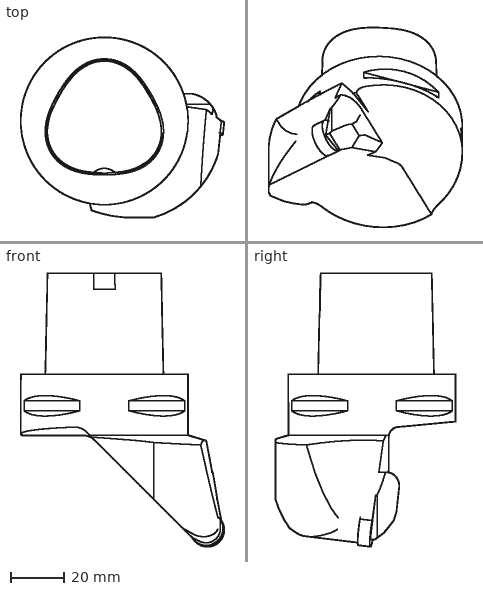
import cadquery as cq
import math

FAR = 61.8

SHANK_HEIGHT = 38.0
SHANK_BASE_RADIUS = 21.8
SHANK_TOP_RADIUS = 21.0
LOBE_HEIGHT = 1.5
SHANK_POINTS = 36

NOTCH_RADIUS = 5.8
NOTCH_HEIGHT = 6.2
NOTCH_INNER_Y = -17.8

FLANGE_RADIUS = 63.0 / 2
FLANGE_HEIGHT = 23.0
SLOT_Z = -11.9
SLOT_DEPTH = 3.7
SLOT_FLOOR_HEIGHT = 3.7
SLOT_MOUTH_HEIGHT = 7.7
SLOT_COUNT = 4

HEAD_DEPTH = 68.0
SHOULDER_SLOPE = 0.3
FLANK_OFFSET = -28.5
FLANK_CEILING_Z = -22.6
FLANK_CEILING_SLOPE = 0.088
FLANK_FILLET = 6.2
SIDE_NORMAL = (1, -0.085, 0.2)
SIDE_ALONG = (0.085, 1, 0)

CHIP_WALL_Y = 6.4
CHIP_CEILING_Z = -20.3
CHIP_CEILING_SLOPE = 0.095
CHIP_FILLET = 3.6

RAKE_POINT = (38.3, 4.3, -24.7)
RAKE_X_SLOPE = 0.11
RAKE_Z_SLOPE = 0.12

INSERT_RADIUS = 12.7 / 2
INSERT_THICKNESS = 4.6
INSERT_X = 38.8
INSERT_Z = -58.7
TIP_RADIUS = 5.4
TIP_UNDERSIDE_ANGLE = 26.0

CLAMP_LEFT_X = 17.0
CLAMP_BEVEL_POINT = (16.4, 7.6, -44.9)
CLAMP_BEVEL_NORMAL = (-0.5, 1, -0.7)
CLAMP_BEVEL_ALONG = (1, 0.5, 0)
CLAMP_TOP_Z = -37.0
CLAMP_NOSE_Z = -62.3
CLAMP_FRONT_Y = 10.3
CLAMP_BACK_Y = -10.3


def space_above(plane):
    """Large block standing on the outer side of a plane."""
    return cq.Workplane(plane).rect(4 * FAR, 4 * FAR).extrude(FAR)


def rake_y(x, z):
    """Y of the rake face at a given x and z."""
    point_x, point_y, point_z = RAKE_POINT
    return point_y - RAKE_X_SLOPE * (x - point_x) + RAKE_Z_SLOPE * (z - point_z)


def rake_plane():
    """Plane on the rake face, centred on the insert, normal out of the holder."""
    return cq.Plane(
        origin=(INSERT_X, rake_y(INSERT_X, INSERT_Z), INSERT_Z),
        xDir=(1, -RAKE_X_SLOPE, 0),
        normal=(RAKE_X_SLOPE, 1, -RAKE_Z_SLOPE),
    )


def lobed_wire(radius, z):
    points = []
    for i in range(SHANK_POINTS):
        angle = 2 * math.pi * i / SHANK_POINTS
        r = radius + LOBE_HEIGHT * math.cos(3 * (angle - math.pi / 2))
        points.append(cq.Vector(r * math.cos(angle), r * math.sin(angle), z))
    return cq.Wire.assembleEdges([cq.Edge.makeSpline(points, periodic=True)])


def make_shank():
    base = lobed_wire(SHANK_BASE_RADIUS, 0)
    top = lobed_wire(SHANK_TOP_RADIUS, SHANK_HEIGHT)
    shank = cq.Workplane(cq.Solid.makeLoft([base, top]))
    notch = (
        cq.Workplane("XY", origin=(0, NOTCH_INNER_Y - NOTCH_RADIUS, SHANK_HEIGHT))
        .circle(NOTCH_RADIUS)
        .extrude(-NOTCH_HEIGHT)
    )
    return shank.cut(notch)


def make_slot(angle):
    """Straight slot with flared top and bottom walls, cut across the flange rim."""
    floor_x = FLANGE_RADIUS - SLOT_DEPTH
    half_floor = SLOT_FLOOR_HEIGHT / 2
    half_mouth = SLOT_MOUTH_HEIGHT / 2
    return (
        cq.Workplane("XZ", origin=(0, 0, SLOT_Z))
        .moveTo(floor_x, -half_floor)
        .lineTo(FLANGE_RADIUS, -half_mouth)
        .lineTo(FLANGE_RADIUS, half_mouth)
        .lineTo(floor_x, half_floor)
        .close()
        .extrude(FLANGE_RADIUS, both=True)
        .rotate((0, 0, 0), (0, 0, 1), angle)
    )


def make_shoulder_cone():
    """Everything below the conical shoulder that runs out from the flange rim."""
    apex_z = SHOULDER_SLOPE * FLANGE_RADIUS - FLANGE_HEIGHT
    rim_z = apex_z - SHOULDER_SLOPE * FAR
    return (
        cq.Workplane("XZ")
        .moveTo(0, apex_z)
        .lineTo(FAR, rim_z)
        .lineTo(FAR, -HEAD_DEPTH)
        .lineTo(0, -HEAD_DEPTH)
        .close()
        .revolve(360, (0, 0), (0, 1))
    )


def make_skirt():
    """Overhanging part of the head, with a vertical outer wall."""
    outline = (
        cq.Workplane("XY")
        .moveTo(-12.4, -30.2)
        .threePointArc((-4.5, -33.8), (7.9, -36.4))
        .lineTo(18.5, -36.4)
        .threePointArc((35.1, -26.0), (42.7, -12.7))
        .lineTo(46.3, 0)
        .lineTo(46.3, 15.4)
        .lineTo(-12.4, 15.4)
        .close()
        .extrude(-HEAD_DEPTH)
    )
    return outline.intersect(make_shoulder_cone())


def make_flank_cutter():
    """Space beside the 45 degree flank, below a tilted and filleted ceiling."""
    wedge = (
        cq.Workplane("XZ")
        .moveTo(FLANK_OFFSET, 0)
        .lineTo(FLANK_OFFSET - FAR, 0)
        .lineTo(FLANK_OFFSET - FAR, -2 * FAR)
        .lineTo(FLANK_OFFSET + 2 * FAR, -2 * FAR)
        .close()
        .extrude(FAR, both=True)
    )
    ceiling = (
        cq.Workplane(
            cq.Plane(
                origin=(0, 0, FLANK_CEILING_Z),
                xDir=(1, 0, 0),
                normal=(0, FLANK_CEILING_SLOPE, 1),
            )
        )
        .rect(6 * FAR, 4 * FAR)
        .extrude(-3 * FAR)
    )
    edge_point = (FLANK_OFFSET - FLANK_CEILING_Z, 0, FLANK_CEILING_Z)
    corner = cq.selectors.NearestToPointSelector(edge_point)
    return wedge.intersect(ceiling).edges(corner).fillet(FLANK_FILLET)


def make_chip_cutter():
    """Space in front of the rake face, reaching up into the flange."""
    ceiling_end_z = CHIP_CEILING_Z + CHIP_CEILING_SLOPE * (FAR - CHIP_WALL_Y)
    bottom_z = -HEAD_DEPTH - 1
    corner = cq.selectors.NearestToPointSelector((0, CHIP_WALL_Y, CHIP_CEILING_Z))
    return (
        cq.Workplane("YZ")
        .moveTo(CHIP_WALL_Y, CHIP_CEILING_Z)
        .lineTo(FAR, ceiling_end_z)
        .lineTo(FAR, bottom_z)
        .lineTo(CHIP_WALL_Y, bottom_z)
        .close()
        .extrude(FAR, both=True)
        .edges(corner)
        .fillet(CHIP_FILLET)
    )


def make_rake_cutter():
    """Space in front of the rake face, below the flange."""
    front = space_above(rake_plane())
    below_flange = (
        cq.Workplane("XY", origin=(0, 0, -FLANGE_HEIGHT))
        .rect(4 * FAR, 4 * FAR)
        .extrude(-HEAD_DEPTH)
    )
    return front.intersect(below_flange)


def make_side_cutter():
    """Space beyond the leaning side face of the head."""
    side = cq.Plane(origin=RAKE_POINT, xDir=SIDE_ALONG, normal=SIDE_NORMAL)
    return space_above(side)


def make_tip_envelope():
    """Round nose and sloping underside, running back square to the rake face."""
    angle = math.radians(TIP_UNDERSIDE_ANGLE)
    tangent_x = -TIP_RADIUS * math.sin(angle)
    tangent_y = TIP_RADIUS * math.cos(angle)
    diagonal = TIP_RADIUS * math.sqrt(0.5)
    run = 2 * FAR
    return (
        cq.Workplane(rake_plane())
        .moveTo(TIP_RADIUS, 0)
        .threePointArc((diagonal, diagonal), (tangent_x, tangent_y))
        .lineTo(tangent_x - run * math.cos(angle), tangent_y - run * math.sin(angle))
        .lineTo(-run, -run)
        .lineTo(TIP_RADIUS, -run)
        .close()
        .extrude(FAR, both=True)
    )


def make_clamp():
    """Rounded clamp standing on the rake face above the insert."""
    profile = (
        cq.Workplane("YZ", origin=(CLAMP_LEFT_X, 0, 0))
        .moveTo(CHIP_WALL_Y, CLAMP_TOP_Z)
        .threePointArc((9.3, -38.9), (10.2, -43.3))
        .lineTo(9.3, -51.8)
        .lineTo(8.2, -55.1)
        .lineTo(4.5, -59.7)
        .lineTo(1.0, CLAMP_NOSE_Z)
        .lineTo(CLAMP_BACK_Y, CLAMP_NOSE_Z)
        .lineTo(CLAMP_BACK_Y, CLAMP_TOP_Z)
        .close()
        .extrude(FAR)
    )
    plan = (
        cq.Workplane("XY")
        .moveTo(CLAMP_LEFT_X, CLAMP_BACK_Y)
        .lineTo(CLAMP_LEFT_X, CLAMP_FRONT_Y)
        .lineTo(33, CLAMP_FRONT_Y)
        .threePointArc((39.1, 7.1), (42.2, 2.1))
        .lineTo(42.2, CLAMP_BACK_Y)
        .close()
        .extrude(-HEAD_DEPTH)
    )
    rake_front = space_above(rake_plane())
    bevel_plane = cq.Plane(
        origin=CLAMP_BEVEL_POINT,
        xDir=CLAMP_BEVEL_ALONG,
        normal=CLAMP_BEVEL_NORMAL,
    )
    bevel = space_above(bevel_plane)
    return profile.intersect(plan).intersect(rake_front).cut(bevel)


def make_insert():
    return cq.Workplane(rake_plane()).circle(INSERT_RADIUS).extrude(-INSERT_THICKNESS)


def make_holder():
    flange = cq.Workplane("XY").circle(FLANGE_RADIUS).extrude(-HEAD_DEPTH)
    head = flange.union(make_skirt())
    head = head.cut(make_chip_cutter()).cut(make_rake_cutter())
    head = head.intersect(make_tip_envelope())
    head = head.union(make_clamp())
    head = head.cut(make_flank_cutter()).cut(make_side_cutter())
    for i in range(SLOT_COUNT):
        head = head.cut(make_slot(45 + i * 360 / SLOT_COUNT))
    return head.union(make_shank()).cut(make_insert())


holder = make_holder()
insert = make_insert()

result = cq.Compound.makeCompound([holder.val(), insert.val()])